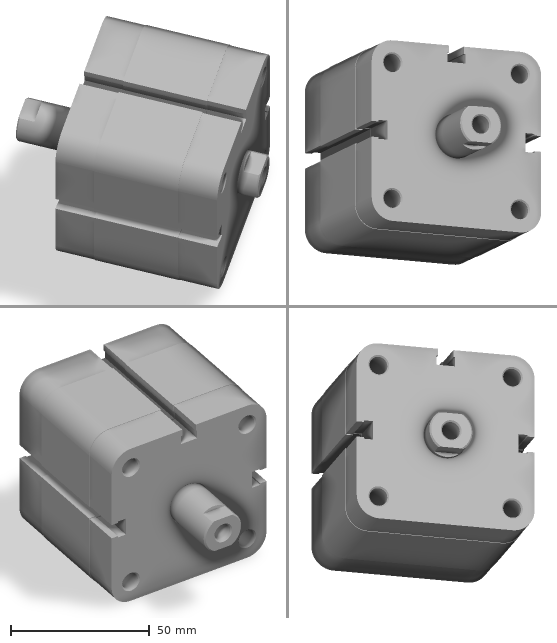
import cadquery as cq
import math

rod_length = 91.0
rod_start = -rod_length / 2
body_start = -22.9
cap_length = 14.65
barrel_length = 31.6
barrel_start = body_start + cap_length
rear_cap_start = barrel_start + barrel_length
body_end = rear_cap_start + cap_length

barrel_width = 67.0
cap_width = 66.6
corner_center = 25.0

barrel_slot_mouth = 5.2
barrel_slot_inner = 6.4
barrel_slot_floor = 27.5
slot_clearance = 0.3
slot_shoulder = 30.7

hole_diameter = 6.6
hole_chamfer = 0.55
rod_hole_depth = 14.6
drill_point_angle = 118.0

rod_diameter = 16.1
rod_chamfer = 0.55
flat_distance = 13.1
flat_length = 6.1
flat_shoulder_run = 0.3
bore_chamfer = 0.3


def axial_cylinder(diameter, start, length):
    """Cylinder along X, beginning at start."""
    return cq.Workplane("YZ", origin=(start, 0, 0)).circle(diameter / 2).extrude(length)


def slot_cutter(clearance, start, length):
    """T-slot opening towards +Z, its sides and floor set back by clearance."""
    mouth = barrel_slot_mouth / 2 + clearance
    inner = barrel_slot_inner / 2 + clearance
    floor = barrel_slot_floor - clearance
    top = barrel_width
    profile = [
        (-mouth, top),
        (-mouth, slot_shoulder),
        (-inner, slot_shoulder),
        (-inner, floor),
        (inner, floor),
        (inner, slot_shoulder),
        (mouth, slot_shoulder),
        (mouth, top),
    ]
    return cq.Workplane("YZ", origin=(start, 0, 0)).polyline(profile).close().extrude(length)


def make_section(width, clearance, start, length):
    """Square block with rounded corners, three T-slots, bolt holes and the rod bore."""
    section = cq.Workplane("YZ", origin=(start, 0, 0)).rect(width, width).extrude(length)
    section = section.edges("|X").fillet(width / 2 - corner_center)
    for angle in (0, 90, -90):
        cutter = slot_cutter(clearance, start, length)
        section = section.cut(cutter.rotate((0, 0, 0), (1, 0, 0), angle))
    for y in (-corner_center, corner_center):
        for z in (-corner_center, corner_center):
            section = section.cut(axial_cylinder(hole_diameter, start, length).translate((0, y, z)))
    return section.cut(axial_cylinder(rod_diameter, start, length))


def make_cap(start, outer_face):
    """End cap with chamfered bolt holes and rod bore on its outer face."""
    cap = make_section(cap_width, slot_clearance, start, cap_length)
    bolt_rims = cq.selectors.RadiusNthSelector(0)
    cap = cap.faces(outer_face).edges("%CIRCLE").edges(bolt_rims).chamfer(hole_chamfer)
    bore_center = (body_start if outer_face == "<X" else body_end, 0, 0)
    bore_rim = cq.selectors.NearestToPointSelector(bore_center)
    return cap.faces(outer_face).edges("%CIRCLE").edges(bore_rim).chamfer(bore_chamfer)


def flat_cutter():
    """Material removed above the upper flat at the front end of the rod."""
    flat_height = flat_distance / 2
    flat_end = rod_start + flat_length
    rod_top = rod_diameter / 2
    profile = [
        (rod_start, flat_height),
        (flat_end, flat_height),
        (flat_end + flat_shoulder_run, rod_top),
        (rod_start, rod_top),
    ]
    return cq.Workplane("XZ").polyline(profile).close().extrude(rod_diameter / 2, both=True)


def rod_hole():
    """Chamfered blind hole with a drill point in the front end of the rod."""
    radius = hole_diameter / 2
    hole_end = rod_start + rod_hole_depth
    point_length = radius / math.tan(math.radians(drill_point_angle / 2))
    profile = [
        (rod_start, 0),
        (rod_start, radius + hole_chamfer),
        (rod_start + hole_chamfer, radius),
        (hole_end, radius),
        (hole_end + point_length, 0),
    ]
    hole = cq.Workplane("XY").polyline(profile).close()
    return hole.revolve(360, (0, 0, 0), (1, 0, 0))


def make_rod():
    """Through rod with two flats and a blind hole at each end."""
    rod = axial_cylinder(rod_diameter, rod_start, rod_length)
    rod = rod.faces("<X or >X").edges().chamfer(rod_chamfer)
    upper_flat = flat_cutter()
    end_cuts = [rod_hole(), upper_flat, upper_flat.mirror("XY")]
    for cutter in end_cuts:
        rod = rod.cut(cutter).cut(cutter.mirror("YZ"))
    return rod


front_cap = make_cap(body_start, "<X")
barrel = make_section(barrel_width, 0, barrel_start, barrel_length)
rear_cap = make_cap(rear_cap_start, ">X")
rod = make_rod()

result = cq.Compound.makeCompound([front_cap.val(), barrel.val(), rear_cap.val(), rod.val()])